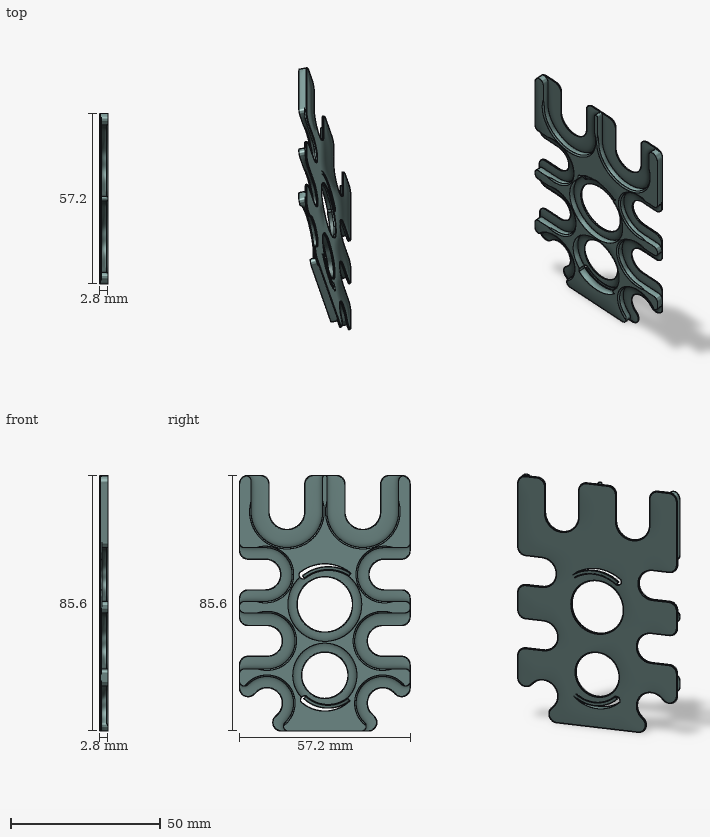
import cadquery as cq
import math

thickness = 2.8
width = 57.16
height = 85.6
edge_chamfer = 0.25
corner_radius = 2.9
plate_thickness = 0.55
upper_plate_thickness = 0.75
pad_tip_radius = 1.65
ridge_tip_radius = 0.6
pad_bevel = 0.5

side_slot_radius = 5.1
top_slot = (12.7, height - 12.15, 5.95, 12.0, plate_thickness, 90)
upper_slot = (19.9, height - 33.2, side_slot_radius, 9.0, upper_plate_thickness, 0)
lower_slot = (19.35, height - 55.4, side_slot_radius, 9.4, plate_thickness, 0)
corner_slot = (19.35, height - 76.2, side_slot_radius, 8.9, plate_thickness, -45)
slots = [top_slot, upper_slot, lower_slot, corner_slot]
slot_reach = 40.0

large_hole = (height - 43.2, 18.46, upper_plate_thickness, 13.57, 1, 40, 38)
small_hole = (height - 66.9, 15.41, plate_thickness, 11.95, -1, 44.5, 42)
holes = [large_hole, small_hole]

arm_width = 1.2
arm_middle_drop = 0.95
arm_tip_drop = 1.4
arm_slit = 0.15
window_end_bulge = 4.5

tolerance = 0.01


def workplane(x):
    return cq.Workplane("YZ", origin=(x, 0, 0))


def both_sides(shape):
    return shape.union(shape.mirror("XZ"))


def full_block():
    return workplane(0).center(0, height / 2).rect(width, height).extrude(thickness)


def u_cutter(y, z, radius, direction, floor):
    """U-shaped cutter from X = floor up: a round end at (y, z), straight sides running out of the plate."""
    depth = thickness - floor
    straight = workplane(floor).center(slot_reach / 2, 0).rect(slot_reach, 2 * radius).extrude(depth)
    cutter = straight.union(workplane(floor).circle(radius).extrude(depth))
    return both_sides(cutter.rotate((0, 0, 0), (1, 0, 0), direction).translate((0, y, z)))


def on_perimeter(edge):
    middle = edge.Center()
    on_side = abs(abs(middle.y) - width / 2) < tolerance
    return on_side or middle.z < tolerance or middle.z > height - tolerance


def at_pad_tip(edge):
    """Upright pad edges on the sides and the bottom, where a recess runs out."""
    middle = edge.Center()
    return on_perimeter(edge) and middle.x > thickness / 2 and middle.z < height - tolerance


def at_ridge_tip(edge):
    middle = edge.Center()
    return middle.z > height - tolerance and abs(middle.y) < top_slot[0]


def make_outline():
    """Plate outline with slots and holes, at full thickness."""
    outline = full_block()
    for y, z, radius, _, _, direction in slots:
        outline = outline.cut(u_cutter(y, z, radius, direction, 0))
    outline = outline.edges("|X").filter(on_perimeter).fillet(corner_radius)
    for z, diameter, *_ in holes:
        outline = outline.cut(workplane(0).center(0, z).circle(diameter / 2).extrude(thickness))
    return outline


def square_tooth_end():
    """Pad zone beside the outer sides of the top slots, above their centres."""
    slot_y, slot_z, *_ = top_slot
    return both_sides(
        workplane(plate_thickness)
        .moveTo(slot_y, slot_z)
        .lineTo(width / 2, slot_z)
        .lineTo(width / 2, height)
        .lineTo(slot_y, height)
        .close()
        .extrude(thickness - plate_thickness)
    )


def round_tooth_end():
    """Pad on the outer top teeth: its rounded tip flows into the plate corner."""
    slot_y, slot_z, _, recess_radius, *_ = top_slot
    wall = slot_y + recess_radius
    outer = width / 2
    corner_y = outer - corner_radius
    corner_z = height - corner_radius
    tip_y = wall + pad_tip_radius
    joint_angle = math.acos((tip_y - corner_y) / (corner_radius - pad_tip_radius))
    tip_z = corner_z + (corner_radius - pad_tip_radius) * math.sin(joint_angle)

    def on_arc(centre_y, centre_z, radius, angle):
        return (centre_y + radius * math.cos(angle), centre_z + radius * math.sin(angle))

    corner_middle = on_arc(corner_y, corner_z, corner_radius, joint_angle / 2)
    joint = on_arc(corner_y, corner_z, corner_radius, joint_angle)
    tip_middle = on_arc(tip_y, tip_z, pad_tip_radius, (joint_angle + math.pi) / 2)
    return both_sides(
        workplane(plate_thickness)
        .moveTo(outer, slot_z)
        .lineTo(outer, corner_z)
        .threePointArc(corner_middle, joint)
        .threePointArc(tip_middle, (wall, tip_z))
        .lineTo(wall, slot_z)
        .close()
        .extrude(thickness - plate_thickness)
    )


def recess_bevel(y, z, radius):
    """Cone that bevels the pad edge around a slot recess."""
    start = cq.Vector(thickness - pad_bevel, y, z)
    cone = cq.Solid.makeCone(radius, radius + pad_bevel, pad_bevel, start, cq.Vector(1, 0, 0))
    return both_sides(cq.Workplane(cone))


def make_recessed_block():
    """Full block thinned around the slots and holes, leaving thick pads between the recesses."""
    recessed = full_block()
    for y, z, _, radius, floor, direction in slots:
        recessed = recessed.cut(u_cutter(y, z, radius, direction, floor))
    recessed = recessed.edges("|X").filter(at_pad_tip).fillet(pad_tip_radius)
    recessed = recessed.edges("|X").filter(at_ridge_tip).fillet(ridge_tip_radius)
    recessed = recessed.cut(square_tooth_end()).union(round_tooth_end())
    for y, z, _, radius, *_ in slots:
        recessed = recessed.cut(recess_bevel(y, z, radius))
    for z, _, floor, window_radius, *_ in holes:
        hole_recess = workplane(floor).center(0, z).circle(window_radius - arm_width)
        recessed = recessed.cut(hole_recess.extrude(thickness))
    return recessed


def window_point(hole, drop, degrees):
    """Point a drop inside the window's outer arc, at an angle from the vertical that grows towards -Y."""
    z, _, _, window_radius, side, *_ = hole
    radius = window_radius - drop
    angle = math.radians(degrees)
    return (-radius * math.sin(angle), z + side * radius * math.cos(angle))


def arm_window(hole):
    """Arc-shaped window around a spring arm, through the full thickness."""
    *_, root_angle, tip_angle = hole
    end_drop = arm_tip_drop + arm_width
    end_bulge = window_point(hole, end_drop / 2, tip_angle + window_end_bulge)
    inner_middle = window_point(hole, arm_middle_drop + arm_width, 0)
    return (
        workplane(0)
        .moveTo(*window_point(hole, 0, -root_angle))
        .threePointArc(window_point(hole, 0, 0), window_point(hole, 0, tip_angle))
        .threePointArc(end_bulge, window_point(hole, end_drop, tip_angle))
        .threePointArc(inner_middle, window_point(hole, arm_width, -root_angle))
        .close()
        .extrude(thickness)
    )


def spring_arm(hole):
    """Arm as thick as the thinned plate, bending inward from the window's root end to its free tip."""
    _, _, arm_thickness, *_, root_angle, tip_angle = hole
    inner_offset = arm_width - arm_slit
    outer_middle = window_point(hole, arm_middle_drop, 0)
    inner_middle = window_point(hole, arm_middle_drop + inner_offset, 0)
    return (
        workplane(0)
        .moveTo(*window_point(hole, 0, -root_angle))
        .threePointArc(outer_middle, window_point(hole, arm_tip_drop, tip_angle))
        .lineTo(*window_point(hole, arm_tip_drop + inner_offset, tip_angle))
        .threePointArc(inner_middle, window_point(hole, inner_offset, -root_angle))
        .close()
        .extrude(arm_thickness)
    )


result = make_recessed_block().intersect(make_outline())
result = result.faces("<X").edges().chamfer(edge_chamfer)
for hole in holes:
    result = result.cut(arm_window(hole)).union(spring_arm(hole))
result = cq.Workplane(result.solids().val())